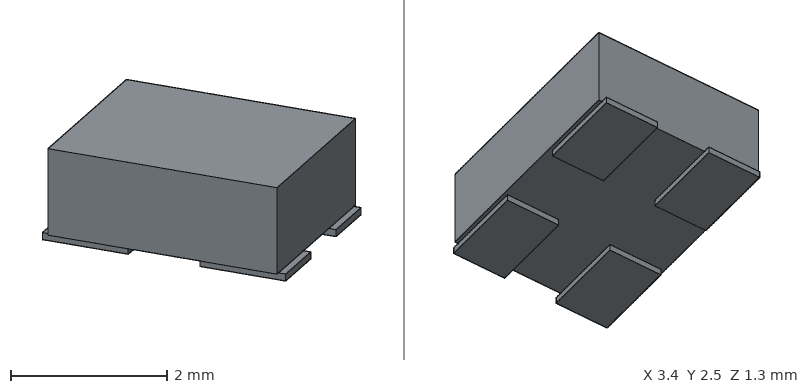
import cadquery as cq

overall_length = 3.4
housing_width = 2.5
overall_height = 1.3

pad_length = 1.2
pad_width = 0.8
pad_thickness = 0.1
pad_overhang = 0.1
pad_pitch_y = 1.6

housing_length = overall_length - 2 * pad_overhang
housing_height = overall_height - pad_thickness
pad_center_x = (overall_length - pad_length) / 2
pad_center_y = pad_pitch_y / 2


def make_housing():
    """Plain block resting on top of the pads."""
    return (
        cq.Workplane("XY")
        .workplane(offset=pad_thickness)
        .box(housing_length, housing_width, housing_height, centered=(True, True, False))
    )


def make_pad(center_x, center_y):
    """Flat terminal pad with its underside at Z = 0."""
    return (
        cq.Workplane("XY")
        .center(center_x, center_y)
        .box(pad_length, pad_width, pad_thickness, centered=(True, True, False))
    )


housing = make_housing()
pads = [
    make_pad(side_x * pad_center_x, side_y * pad_center_y)
    for side_x in (-1, 1)
    for side_y in (-1, 1)
]

result = cq.Compound.makeCompound([housing.val(), *[pad.val() for pad in pads]])